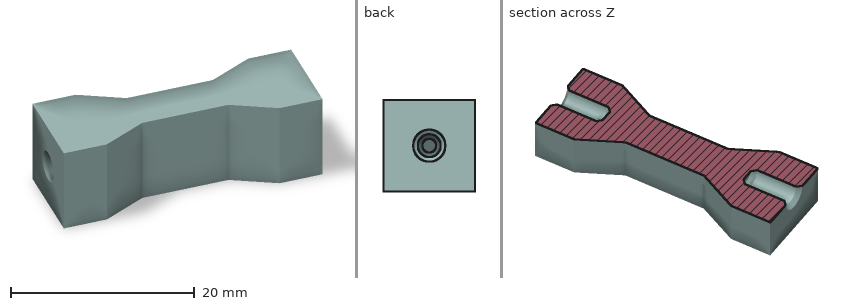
import cadquery as cq

length = 30.0
head_width = 10.0
height = 10.0
waist_width = 5.0
head_length = 5.0
taper_length = 5.0

hole_diameter = 2.5
mouth_diameter = 3.5
mouth_depth = 0.5
hole_depth = 6.0
bottom_diameter = 1.5
bottom_chamfer = (hole_diameter - bottom_diameter) / 2

half_length = length / 2
taper_start = half_length - head_length
taper_end = taper_start - taper_length


def make_body():
    """Bar with square ends that taper to a narrower waist, centred on the origin."""
    half_head = head_width / 2
    half_waist = waist_width / 2
    right_side = [
        (half_head, -half_length),
        (half_head, -taper_start),
        (half_waist, -taper_end),
        (half_waist, taper_end),
        (half_head, taper_start),
        (half_head, half_length),
    ]
    left_side = [(-x, y) for x, y in reversed(right_side)]
    outline = cq.Workplane("XY").polyline(right_side + left_side).close()
    return outline.extrude(height / 2, both=True)


def make_front_hole_cutter():
    """Countersunk blind hole with a bevelled bottom, entering from the -Y end face."""
    profile = [
        (0, -half_length),
        (mouth_diameter / 2, -half_length),
        (hole_diameter / 2, -half_length + mouth_depth),
        (hole_diameter / 2, -half_length + hole_depth - bottom_chamfer),
        (bottom_diameter / 2, -half_length + hole_depth),
        (0, -half_length + hole_depth),
    ]
    return cq.Workplane("XY").polyline(profile).close().revolve(360, (0, 0, 0), (0, 1, 0))


front_hole = make_front_hole_cutter()
back_hole = front_hole.mirror("XZ")
result = make_body().cut(front_hole).cut(back_hole)